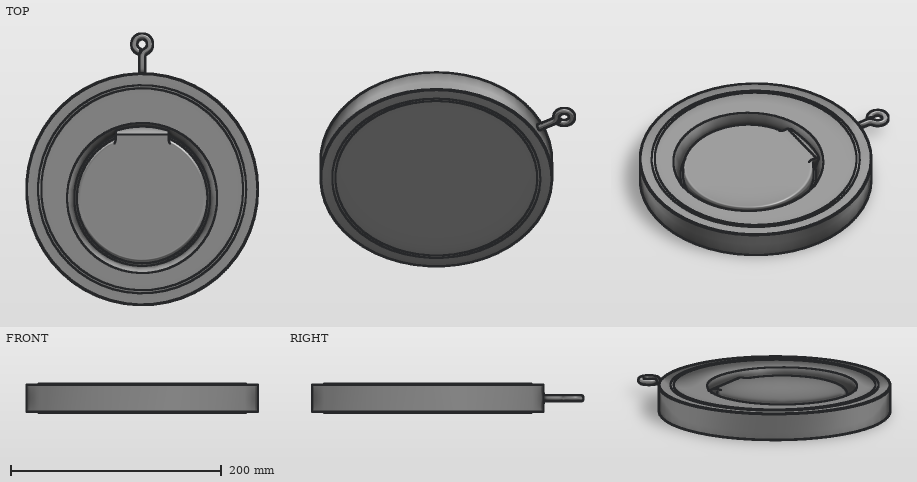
import cadquery as cq
import math

BODY_DIAMETER = 220.0
BODY_THICKNESS = 26.3
BODY_CHAMFER = 0.8
TOTAL_LENGTH = 258.0
BODY_TOP = BODY_THICKNESS / 2

SEAL_RADIUS = 97.3
SEAL_SECTION_RADIUS = 1.8
SEAL_PROTRUSION = 0.8

RECESS_OFFSET_Y = -8.3
RECESS_TOP_RADIUS = 71.2
RECESS_FLOOR_RADIUS = 64.5
RECESS_DEPTH = 16.8
RECESS_FLOOR = BODY_TOP - RECESS_DEPTH

FLAP_RADIUS = 62.0
FLAP_TOP = 8.3
FLAP_EDGE_RADIUS = 3.9
TAB_WIDTH = 50.0
TAB_SLOPE_START_Y = 52.0
TAB_SLOPE_DEGREES = 27.0
TAB_END_Y = 65.8
TAB_CORNER_RADIUS = 1.3

WIRE_DIAMETER = 6.0
EYE_OUTER_DIAMETER = 21.0
SHANK_END_Y = 125.0
SHANK_EMBEDMENT = 2.5
EYE_TAIL_DEGREES = 14.0


def make_body():
    """Chamfered round plate."""
    base = cq.Workplane("XY", origin=(0, 0, -BODY_TOP))
    plate = base.circle(BODY_DIAMETER / 2).extrude(BODY_THICKNESS)
    return plate.edges().chamfer(BODY_CHAMFER)


def make_seal(side):
    """O-ring standing proud of the top (side = 1) or bottom (side = -1) face."""
    section_height = BODY_TOP + SEAL_PROTRUSION - SEAL_SECTION_RADIUS
    section = cq.Workplane("XZ").center(SEAL_RADIUS, side * section_height).circle(SEAL_SECTION_RADIUS)
    return section.revolve(360, (-SEAL_RADIUS, 0, 0), (-SEAL_RADIUS, 1, 0))


def make_recess():
    """Tapered cavity, widest at the top face."""
    floor = cq.Workplane("XY", origin=(0, RECESS_OFFSET_Y, RECESS_FLOOR)).circle(RECESS_FLOOR_RADIUS)
    return floor.workplane(offset=RECESS_DEPTH).circle(RECESS_TOP_RADIUS).loft()


def make_disc():
    """Flap disc with a rounded upper edge."""
    base = cq.Workplane("XY", origin=(0, RECESS_OFFSET_Y, RECESS_FLOOR))
    disc = base.circle(FLAP_RADIUS).extrude(FLAP_TOP - RECESS_FLOOR)
    return disc.edges(">Z").fillet(FLAP_EDGE_RADIUS)


def make_tab():
    """Hinge tab, flush with the flap and sloping down into the recess wall."""
    slope_drop = (TAB_END_Y - TAB_SLOPE_START_Y) * math.tan(math.radians(TAB_SLOPE_DEGREES))
    side = [
        (0, RECESS_FLOOR),
        (TAB_END_Y, RECESS_FLOOR),
        (TAB_END_Y, FLAP_TOP - slope_drop),
        (TAB_SLOPE_START_Y, FLAP_TOP),
        (0, FLAP_TOP),
    ]
    return cq.Workplane("YZ").polyline(side).close().extrude(TAB_WIDTH / 2, both=True)


def make_eye_screw():
    """Straight shank that bends aside and curls round into an open eye."""
    eye_radius = (EYE_OUTER_DIAMETER - WIRE_DIAMETER) / 2
    eye_y = TOTAL_LENGTH - BODY_DIAMETER / 2 - EYE_OUTER_DIAMETER / 2
    shank_start_y = BODY_DIAMETER / 2 - SHANK_EMBEDMENT

    rise = eye_y - SHANK_END_Y
    bend_radius = (rise**2 - eye_radius**2) / (2 * eye_radius)
    join_angle = math.atan2(bend_radius, rise)

    def eye_point(angle):
        """Point on the eye circle, with the angle measured from -Y towards +X."""
        return (eye_radius * math.sin(angle), eye_y - eye_radius * math.cos(angle))

    join = eye_point(join_angle)
    tail = eye_point(2 * math.pi - math.radians(EYE_TAIL_DEGREES))
    path = (
        cq.Workplane("XY")
        .moveTo(0, shank_start_y)
        .lineTo(0, SHANK_END_Y)
        .tangentArcPoint(join, relative=False)
        .threePointArc(eye_point(math.pi), tail)
    )
    section = cq.Workplane("XZ", origin=(0, shank_start_y, 0)).circle(WIRE_DIAMETER / 2)
    return section.sweep(path)


flap = make_disc().union(make_tab())
flap = flap.edges("|Z").edges("<Y").fillet(TAB_CORNER_RADIUS)

result = make_body().cut(make_recess()).union(flap).union(make_eye_screw())
for face_side in (1, -1):
    result = result.union(make_seal(face_side))